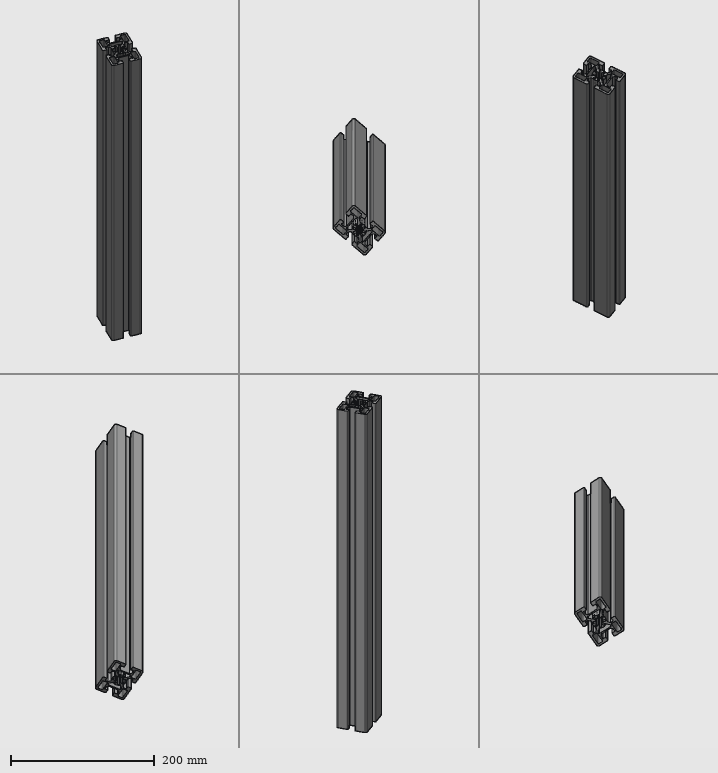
import cadquery as cq


WIDTH = 60.0
DEPTH = 45.0
LENGTH = 500.0
CORNER_RADIUS = 3.0

SLOT_OPENING = 10.5
SLOT_MOUTH_RADIUS = 1.25
SLOT_WIDTH = 20.0
SLOT_DEPTH = 13.0
SLOT_LIP = 6.0
SIDE_FLOOR_CHAMFER = 2.75

WEB = 2.0
CHAMBER_WALL = 3.0
CHAMBER_RADIUS = 1.0

CORE_RADIUS = 10.0
RIB_THICKNESS = 3.25

BORE_DIAMETER = 10.5
GROOVE_COUNT = 8
GROOVE_RADIUS = 8.5
GROOVE_WIDTH = 2.5

HALF_WIDTH = WIDTH / 2
HALF_DEPTH = DEPTH / 2
HALF_SLOT = SLOT_WIDTH / 2
HALF_OPENING = SLOT_OPENING / 2
FRONT_FLOOR = HALF_DEPTH - SLOT_DEPTH
SIDE_FLOOR = HALF_WIDTH - SLOT_DEPTH


def bar(x0, x1, y0, y1):
    """Rectangular bar spanning x0..x1 and y0..y1 over the full length."""
    section = cq.Workplane("XY").center((x0 + x1) / 2, (y0 + y1) / 2).rect(x1 - x0, y1 - y0)
    return section.extrude(LENGTH)


def round_bar(radius):
    return cq.Workplane("XY").circle(radius).extrude(LENGTH)


def turned(solid, angle):
    """The solid turned about the Z axis."""
    return solid.rotate((0, 0, 0), (0, 0, 1), angle)


def outer_block():
    block = bar(-HALF_WIDTH, HALF_WIDTH, -HALF_DEPTH, HALF_DEPTH)
    return block.edges("|Z").fillet(CORNER_RADIUS)


def core_with_ribs():
    """Material left standing between the front slots and the inner voids."""
    rib = bar(-HALF_WIDTH, HALF_WIDTH, -RIB_THICKNESS / 2, RIB_THICKNESS / 2)
    return round_bar(CORE_RADIUS).union(turned(rib, 45)).union(turned(rib, -45))


def front_slots(core):
    """T-slots in the -Y and +Y faces; the core bulges through their floors."""
    neck = bar(-HALF_OPENING, HALF_OPENING, FRONT_FLOOR, HALF_DEPTH)
    head = bar(-HALF_SLOT, HALF_SLOT, FRONT_FLOOR, HALF_DEPTH - SLOT_LIP)
    slot = neck.union(head).cut(core)
    return slot.union(slot.mirror("XZ"))


def side_slots():
    """T-slots in the -X and +X faces, with chamfered floor corners."""
    neck = bar(SIDE_FLOOR, HALF_WIDTH, -HALF_OPENING, HALF_OPENING)
    head = bar(SIDE_FLOOR, HALF_WIDTH - SLOT_LIP, -HALF_SLOT, HALF_SLOT)
    slot = neck.union(head.edges("|Z and <X").chamfer(SIDE_FLOOR_CHAMFER))
    return slot.union(slot.mirror("YZ"))


def round_slot_mouths(body):
    """Round the two outer edges of every slot opening."""
    middle = LENGTH / 2
    for sx in (-1, 1):
        for sy in (-1, 1):
            front_edge = (sx * HALF_OPENING, sy * HALF_DEPTH, middle)
            side_edge = (sx * HALF_WIDTH, sy * HALF_OPENING, middle)
            for point in (front_edge, side_edge):
                mouth = body.edges("|Z").edges(cq.selectors.NearestToPointSelector(point))
                body = mouth.fillet(SLOT_MOUTH_RADIUS)
    return body


def inner_voids(core):
    """Through voids between the core and the webs behind the side slots."""
    void = bar(0, SIDE_FLOOR - WEB, -HALF_SLOT, HALF_SLOT).cut(core).solids(">X")
    return void.union(void.mirror("YZ"))


def corner_chambers():
    """Hollow chamber in each corner, one web away from the slots."""
    inner = HALF_SLOT + WEB
    chamber = bar(inner, HALF_WIDTH - CHAMBER_WALL, inner, HALF_DEPTH - CHAMBER_WALL)
    chamber = chamber.edges("|Z").fillet(CHAMBER_RADIUS)
    pair = chamber.union(chamber.mirror("YZ"))
    return pair.union(pair.mirror("XZ"))


def star_bore():
    """Round bore with radial grooves, leaving teeth on the X and Y axes."""
    bore = round_bar(BORE_DIAMETER / 2)
    groove = bar(0, GROOVE_RADIUS, -GROOVE_WIDTH / 2, GROOVE_WIDTH / 2)
    pitch = 360 / GROOVE_COUNT
    for i in range(GROOVE_COUNT):
        bore = bore.union(turned(groove, (i + 0.5) * pitch))
    return bore


core = core_with_ribs()
result = outer_block().cut(front_slots(core)).cut(side_slots())
result = round_slot_mouths(result)
result = result.cut(inner_voids(core)).cut(corner_chambers()).cut(star_bore())